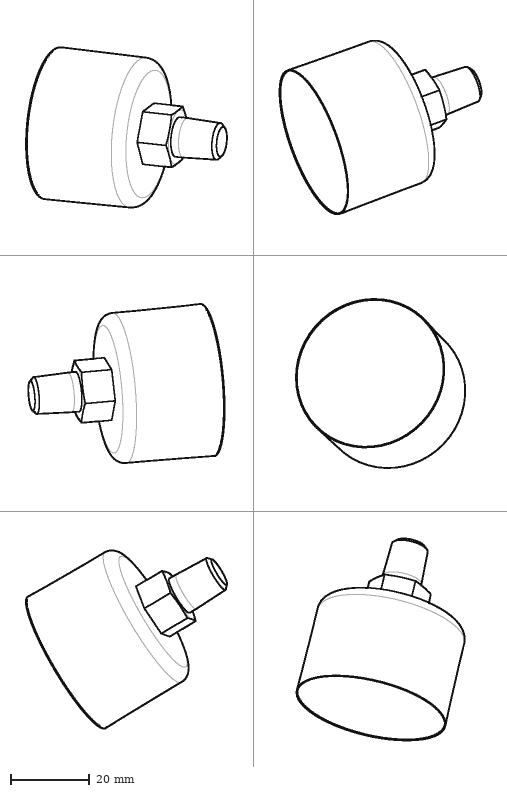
import cadquery as cq
import math

total_length = 46.0
case_length = 26.0
hex_end = 34.05
collar_end = 36.05

case_front_diameter = 39.0
case_back_diameter = 38.5
back_edge_radius = 2.9
face_diameter = 38.5
face_recess = 0.25

hex_across_flats = 14.0
hex_chamfer_diameter = hex_across_flats
hex_chamfer_angle = 10.0
hex_sides = 6

collar_diameter = 10.2
tip_diameter = 9.48
tip_chamfer = 0.9


def make_case():
    front_radius = case_front_diameter / 2
    back_radius = case_back_diameter / 2
    arc_start = case_length - back_edge_radius
    arc_offset = back_edge_radius * math.sqrt(0.5)
    profile = (
        cq.Workplane("XY")
        .lineTo(0, front_radius)
        .lineTo(arc_start, back_radius)
        .threePointArc(
            (arc_start + arc_offset, back_radius - back_edge_radius + arc_offset),
            (case_length, back_radius - back_edge_radius),
        )
        .lineTo(case_length, 0)
        .close()
    )
    case = profile.revolve(360, (0, 0, 0), (1, 0, 0))
    recess = cq.Workplane("YZ").circle(face_diameter / 2).extrude(face_recess)
    return case.cut(recess)


def make_hex():
    across_corners = hex_across_flats / math.cos(math.pi / hex_sides)
    prism = (
        cq.Workplane("YZ", origin=(case_length, 0, 0))
        .polygon(hex_sides, across_corners)
        .extrude(hex_end - case_length)
    )
    corner_radius = across_corners / 2
    bevel_radius = hex_chamfer_diameter / 2
    bevel_length = (corner_radius - bevel_radius) * math.tan(math.radians(hex_chamfer_angle))
    envelope = (
        cq.Workplane("XY")
        .moveTo(case_length, 0)
        .lineTo(case_length, corner_radius)
        .lineTo(hex_end - bevel_length, corner_radius)
        .lineTo(hex_end, bevel_radius)
        .lineTo(hex_end, 0)
        .close()
        .revolve(360, (0, 0, 0), (1, 0, 0))
    )
    return prism.intersect(envelope)


def make_stem():
    collar_radius = collar_diameter / 2
    tip_radius = tip_diameter / 2
    return (
        cq.Workplane("XY")
        .moveTo(hex_end, 0)
        .lineTo(hex_end, collar_radius)
        .lineTo(collar_end, collar_radius)
        .lineTo(total_length - tip_chamfer, tip_radius)
        .lineTo(total_length, tip_radius - tip_chamfer)
        .lineTo(total_length, 0)
        .close()
        .revolve(360, (0, 0, 0), (1, 0, 0))
    )


result = make_case().union(make_hex()).union(make_stem())